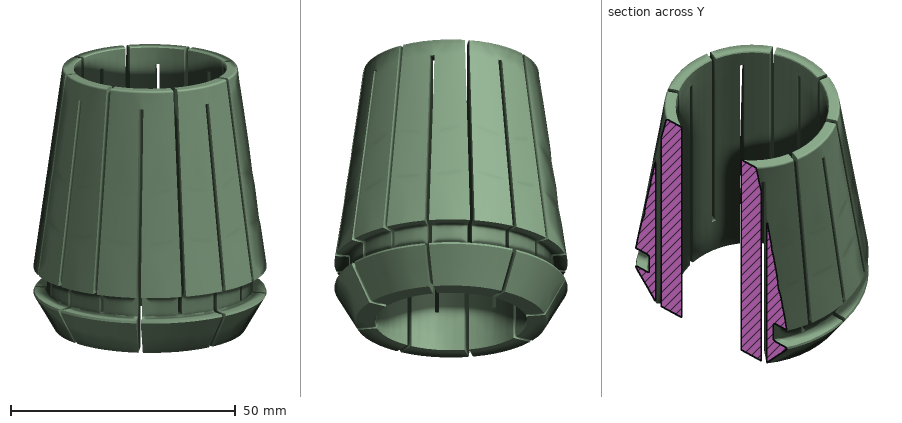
import cadquery as cq
import math

height = 60.0
bore_diameter = 34.0
max_radius = 26.0
bore_chamfer = 0.2

nose_half_angle = math.radians(30.0)
nose_top = 8.6
nose_chamfer_width = 0.2
nose_chamfer_height = 0.5

groove_radius = 23.0
groove_top = 14.0
groove_fillet = 0.4

taper_half_angle = math.radians(8.0)
top_edge_radius = 0.5

slits_per_set = 8
slit_width = 1.0
lower_slit_top = 56.0
upper_slit_bottom = 9.0
slit_pitch = 360.0 / slits_per_set
blade_overrun = 1.0

bore_radius = bore_diameter / 2
top_radius = max_radius - (height - groove_top) * math.tan(taper_half_angle)

nose_cone_height = nose_top - nose_chamfer_height
bottom_radius = max_radius - nose_cone_height * math.tan(nose_half_angle)

top_arc_height = height - top_edge_radius
top_arc_radius = (
    top_radius
    + top_edge_radius * math.tan(taper_half_angle)
    - top_edge_radius / math.cos(taper_half_angle)
)


def on_circle(center_radius, center_height, radius, angle):
    """Point (radius, height) on a circle in the wall section, angle in radians."""
    return (
        center_radius + radius * math.cos(angle),
        center_height + radius * math.sin(angle),
    )


def make_body():
    """Revolve the wall section (radius, height) about the collet axis."""
    straight_up = math.pi / 2
    top_arc = (top_arc_radius, top_arc_height, top_edge_radius)
    fillet_edge = groove_radius + groove_fillet
    groove_floor_low = nose_top + groove_fillet
    groove_floor_high = groove_top - groove_fillet
    low_fillet = (fillet_edge, groove_floor_low, groove_fillet)
    high_fillet = (fillet_edge, groove_floor_high, groove_fillet)

    section = (
        cq.Workplane("XZ")
        .moveTo(bore_radius, 0)
        .lineTo(bottom_radius, 0)
        .lineTo(max_radius, nose_cone_height)
        .lineTo(max_radius - nose_chamfer_width, nose_top)
        .lineTo(fillet_edge, nose_top)
        .threePointArc(on_circle(*low_fillet, -math.pi * 3 / 4), (groove_radius, groove_floor_low))
        .lineTo(groove_radius, groove_floor_high)
        .threePointArc(on_circle(*high_fillet, math.pi * 3 / 4), (fillet_edge, groove_top))
        .lineTo(max_radius, groove_top)
        .lineTo(*on_circle(*top_arc, taper_half_angle))
        .threePointArc(
            on_circle(*top_arc, (taper_half_angle + straight_up) / 2),
            (top_arc_radius, height),
        )
        .lineTo(bore_radius + bore_chamfer, height)
        .lineTo(bore_radius, height - bore_chamfer)
        .close()
    )
    return section.revolve(360, (0, 0, 0), (0, 1, 0))


def cut_slits(body, first_angle, bottom, top):
    """Cut a full ring of radial slits through the wall between two heights."""
    blade_length = max_radius + blade_overrun
    blade = (
        cq.Workplane("XY")
        .workplane(offset=bottom)
        .box(blade_length, slit_width, top - bottom, centered=(False, True, False))
    )
    for index in range(slits_per_set):
        angle = first_angle + index * slit_pitch
        body = body.cut(blade.rotate((0, 0, 0), (0, 0, 1), angle))
    return body


body = make_body()
body = cut_slits(body, 0, 0, lower_slit_top)
result = cut_slits(body, slit_pitch / 2, upper_slit_bottom, height)